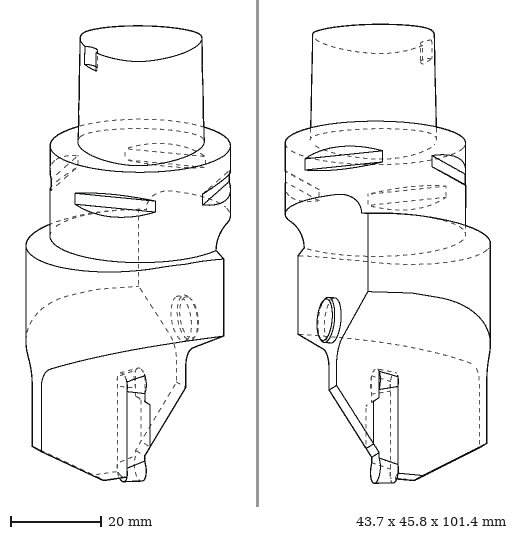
import cadquery as cq
import math

SHANK_LENGTH = 23.9
SHANK_BASE_RADIUS = 14.0
SHANK_TOP_RADIUS = 13.5
SHANK_LOBE = 1.0
SHANK_LOBES = 3
SHANK_POINTS = 36
KEY_RADIUS = 3.5
KEY_DEPTH = 4.2
KEY_CENTER_Y = -14.5

FLANGE_RADIUS = 40.0 / 2
FLANGE_THICKNESS = 16.2
GROOVE_Z = -8.0
GROOVE_FLOOR_WIDTH = 2.5
GROOVE_FLOOR_RADIUS = 17.6
GROOVE_FLANK_ANGLE = 30
GROOVE_COUNT = 4

BODY_HALF_WIDTH = 43.7 / 2
BODY_FRONT_Y = -25.8
BODY_BACK_Y = 10.1
SIDE_LEAN = 5
SIDE_TANGENT_Y = -6.0
COLLAR_TOP_Z = -20.9
COLLAR_SLOPE = 16
SHOULDER_Z = -39.2
SHOULDER_SLOPE = 24.5
NECK_FILLET = 5.9
BACK_FILLET = 4.6
TOTAL_LENGTH = 101.4
TIP_Z = SHANK_LENGTH - TOTAL_LENGTH

BLADE_WIDTH = 4.6
BLADE_BACK_CORNER_Z = -56.7
BLADE_TIP_BACK_Z = -71.1
BLADE_FRONT_CORNER_Z = -66.5
BLADE_END_Y = -9.3
BLADE_END_Z = -75.9
BLADE_END_RADIUS = 4.6

BOSS_DIAMETER = 10.0
BOSS_HEIGHT = 1.9
BOSS_CHAMFER = 0.4
BOSS_Z = -41.4

INSERT_LENGTH = 26.0
INSERT_DEPTH = 4.5
EDGE_RADIUS = 2.99
EDGE_BACK_RADIUS = 2.5
EDGE_FLANK_ANGLE = 25
BRIDGE_HEIGHT = 1.3
BRIDGE_CHAMFER = 1.0
BRIDGE_TOP_Z = -58.5
INSERT_MID_Z = TIP_Z + INSERT_LENGTH / 2


def tan_deg(angle):
    return math.tan(math.radians(angle))


def shank_outline(radius):
    """Three-lobed curve whose distance to its tangent is radius + lobe * cos(3 * angle)."""
    points = []
    for i in range(SHANK_POINTS):
        turn = 2 * math.pi * i / SHANK_POINTS
        reach = radius + SHANK_LOBE * math.cos(SHANK_LOBES * turn)
        slide = -SHANK_LOBES * SHANK_LOBE * math.sin(SHANK_LOBES * turn)
        normal = turn + math.pi / 2
        x = reach * math.cos(normal) - slide * math.sin(normal)
        y = reach * math.sin(normal) + slide * math.cos(normal)
        points.append((x, y))
    return points


def make_shank():
    shank = (
        cq.Workplane("XY")
        .spline(shank_outline(SHANK_BASE_RADIUS), periodic=True).close()
        .workplane(offset=SHANK_LENGTH)
        .spline(shank_outline(SHANK_TOP_RADIUS), periodic=True).close()
        .loft(ruled=True)
    )
    key_slot = (
        cq.Workplane("XY", origin=(0, KEY_CENTER_Y, SHANK_LENGTH - KEY_DEPTH))
        .circle(KEY_RADIUS)
        .extrude(KEY_DEPTH)
    )
    return shank.cut(key_slot)


def make_flange():
    """Round flange down to the collar, with trapezoidal gripper grooves."""
    flange = cq.Workplane("XY").circle(FLANGE_RADIUS).extrude(COLLAR_TOP_Z)
    floor_half = GROOVE_FLOOR_WIDTH / 2
    mouth_half = floor_half + (FLANGE_RADIUS - GROOVE_FLOOR_RADIUS) * tan_deg(GROOVE_FLANK_ANGLE)
    groove = (
        cq.Workplane("XZ")
        .polyline([
            (GROOVE_FLOOR_RADIUS, GROOVE_Z - floor_half),
            (FLANGE_RADIUS, GROOVE_Z - mouth_half),
            (FLANGE_RADIUS, GROOVE_Z + mouth_half),
            (GROOVE_FLOOR_RADIUS, GROOVE_Z + floor_half),
        ])
        .close()
        .extrude(FLANGE_RADIUS, both=True)
    )
    step = 360 / GROOVE_COUNT
    for i in range(GROOVE_COUNT):
        flange = flange.cut(groove.rotate((0, 0, 0), (0, 0, 1), step * (i + 0.5)))
    return flange


def body_plan():
    """Plan of the body: leaning sides, a round front and a flat back, full height."""
    back_x = BODY_HALF_WIDTH - BODY_BACK_Y * tan_deg(SIDE_LEAN)
    tangent_x = BODY_HALF_WIDTH + SIDE_TANGENT_Y * tan_deg(SIDE_LEAN)
    return (
        cq.Workplane("XY")
        .moveTo(-back_x, BODY_BACK_Y)
        .lineTo(-BODY_HALF_WIDTH, 0)
        .lineTo(-tangent_x, SIDE_TANGENT_Y)
        .threePointArc((0, BODY_FRONT_Y), (tangent_x, SIDE_TANGENT_Y))
        .lineTo(BODY_HALF_WIDTH, 0)
        .lineTo(back_x, BODY_BACK_Y)
        .close()
        .extrude(TIP_Z)
    )


def shoulder_and_blade_profile():
    """Front profile: wide body, sloping shoulders and a thin, round-ended blade with filleted roots."""
    blade_half = BLADE_WIDTH / 2
    root_z = SHOULDER_Z - (BODY_HALF_WIDTH - blade_half) * tan_deg(SHOULDER_SLOPE)
    end_rise = BLADE_END_RADIUS - math.sqrt(BLADE_END_RADIUS**2 - blade_half**2)
    profile = (
        cq.Workplane("XZ")
        .moveTo(-BODY_HALF_WIDTH, 0)
        .lineTo(-BODY_HALF_WIDTH, SHOULDER_Z)
        .lineTo(-blade_half, root_z)
        .lineTo(-blade_half, BLADE_END_Z + end_rise)
        .threePointArc((0, BLADE_END_Z), (blade_half, BLADE_END_Z + end_rise))
        .lineTo(blade_half, root_z)
        .lineTo(BODY_HALF_WIDTH, SHOULDER_Z)
        .lineTo(BODY_HALF_WIDTH, 0)
        .close()
        .extrude(-BODY_FRONT_Y, both=True)
    )
    roots = cq.selectors.BoxSelector(
        (-BLADE_WIDTH, BODY_FRONT_Y, root_z - blade_half), (BLADE_WIDTH, -BODY_FRONT_Y, root_z + blade_half)
    )
    return profile.edges("|Y").edges(roots).fillet(NECK_FILLET)


def blade_side_profile():
    """Side profile of the body and blade, stepped back under the insert tip."""
    seat_end_z = TIP_Z + EDGE_RADIUS
    return (
        cq.Workplane("YZ")
        .polyline([
            (BODY_BACK_Y, 0),
            (BODY_BACK_Y, BLADE_BACK_CORNER_Z),
            (0, BLADE_TIP_BACK_Z),
            (0, seat_end_z),
            (-INSERT_DEPTH, seat_end_z),
            (-INSERT_DEPTH, BLADE_END_Z),
            (BLADE_END_Y, BLADE_END_Z),
            (BODY_FRONT_Y, BLADE_FRONT_CORNER_Z),
            (BODY_FRONT_Y, 0),
        ])
        .close()
        .extrude(BODY_HALF_WIDTH, both=True)
    )


def collar_cone():
    """Everything below the conical top of the collar."""
    reach = -2 * BODY_FRONT_Y
    drop = (reach - FLANGE_RADIUS) * tan_deg(COLLAR_SLOPE)
    return (
        cq.Workplane("XZ")
        .polyline([
            (0, COLLAR_TOP_Z),
            (FLANGE_RADIUS, COLLAR_TOP_Z),
            (reach, COLLAR_TOP_Z - drop),
            (reach, TIP_Z),
            (0, TIP_Z),
        ])
        .close()
        .revolve(360, (0, 0, 0), (0, 1, 0))
    )


def back_relief():
    """Space behind the flat back and under the flange, with a rounded inner corner."""
    depth = 2 * FLANGE_RADIUS
    relief = (
        cq.Workplane("XY", origin=(0, BODY_BACK_Y + FLANGE_RADIUS / 2, -FLANGE_THICKNESS))
        .rect(2 * depth, FLANGE_RADIUS)
        .extrude(-depth)
    )
    return relief.edges("|X and >Z and <Y").fillet(BACK_FILLET)


def make_boss():
    return (
        cq.Workplane("XZ", origin=(0, BODY_BACK_Y, BOSS_Z))
        .circle(BOSS_DIAMETER / 2)
        .extrude(-BOSS_HEIGHT)
        .faces(">Y")
        .chamfer(BOSS_CHAMFER)
    )


def edge_section(section, radius):
    """Round edge facing +Z, with straight flanks tangent to the circle that meet below it."""
    flank = math.radians(EDGE_FLANK_ANGLE)
    tangent_x = radius * math.cos(flank)
    tangent_z = -radius * math.sin(flank)
    return (
        section
        .moveTo(-tangent_x, tangent_z)
        .threePointArc((0, radius), (tangent_x, tangent_z))
        .lineTo(0, -radius / math.sin(flank))
        .close()
    )


def make_edge():
    """Cutting edge that narrows from the rake face to the back of the insert."""
    front = edge_section(cq.Workplane("XZ"), EDGE_RADIUS)
    return edge_section(front.workplane(offset=INSERT_DEPTH), EDGE_BACK_RADIUS).loft(ruled=True)


def make_insert():
    """Double-ended insert: a bar flush with the blade and a tapered round edge at each end."""
    edge_offset = INSERT_LENGTH / 2 - EDGE_RADIUS
    low_z = INSERT_MID_Z - edge_offset
    high_z = INSERT_MID_Z + edge_offset
    back_slope = (BLADE_BACK_CORNER_Z - BLADE_TIP_BACK_Z) / BODY_BACK_Y
    insert = (
        cq.Workplane("YZ")
        .polyline([
            (-INSERT_DEPTH, low_z),
            (0, low_z),
            (0, BLADE_TIP_BACK_Z),
            (BRIDGE_HEIGHT, BLADE_TIP_BACK_Z + BRIDGE_HEIGHT * back_slope),
            (BRIDGE_HEIGHT, BRIDGE_TOP_Z - BRIDGE_CHAMFER),
            (0, BRIDGE_TOP_Z),
            (0, high_z),
            (-INSERT_DEPTH, high_z),
        ])
        .close()
        .extrude(BLADE_WIDTH / 2, both=True)
    )
    for side in (-1, 1):
        edge = make_edge().translate((0, 0, edge_offset))
        if side < 0:
            edge = edge.mirror("XY")
        insert = insert.union(edge.translate((0, 0, INSERT_MID_Z)))
    return insert


def make_holder(insert):
    body = body_plan().intersect(shoulder_and_blade_profile()).intersect(blade_side_profile())
    body = body.intersect(collar_cone())
    holder = make_flange().union(body).cut(back_relief())
    return holder.union(make_shank()).union(make_boss()).cut(insert)


insert = make_insert()
holder = make_holder(insert)
result = cq.Compound.makeCompound([holder.val(), insert.val()])